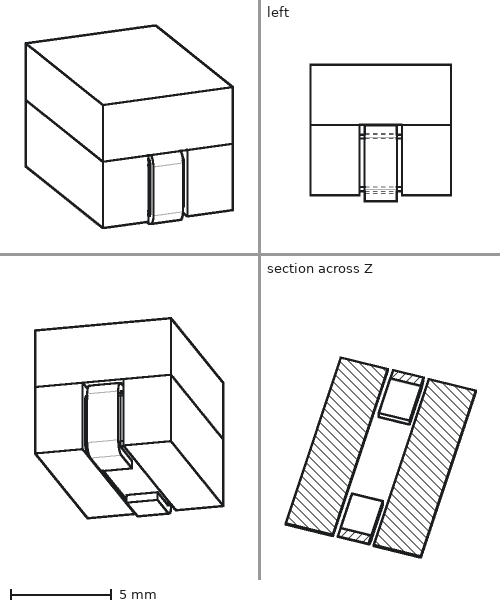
import cadquery as cq

total_length = 10.1
total_height = 6.8

core_width = 7.0
end_protrusion = 0.05
core_length = total_length - 2 * end_protrusion
lower_core_height = 3.5
foot_drop = 0.3
upper_core_height = total_height - lower_core_height - foot_drop

window_width = 2.1
clip_clearance = 0.1
bar_bottom = 0.2
bar_top = 3.02
bar_chamfer = 0.2

clip_width = 1.6
clip_thickness = 0.4
clip_top_gap = 0.02
clip_bend_radius = 0.61
foot_length = 2.63

bar_length = total_length - 2 * (clip_thickness + clip_clearance)
clip_top = lower_core_height - clip_top_gap
clip_height = clip_top + foot_drop


def block(length, width, bottom, top):
    """Box centred in X and Y, between two heights."""
    return (
        cq.Workplane("XY")
        .workplane(offset=bottom)
        .rect(length, width)
        .extrude(top - bottom)
    )


def make_upper_core():
    """Plain slab closing the magnetic circuit."""
    return block(core_length, core_width, lower_core_height, lower_core_height + upper_core_height)


def make_lower_core():
    """Two side legs joined by a chamfered bar across the open window."""
    legs = block(core_length, core_width, 0, lower_core_height)
    window = block(core_length, window_width, 0, lower_core_height)
    bar = block(bar_length, window_width, bar_bottom, bar_top).edges("|Y").chamfer(bar_chamfer)
    return legs.cut(window).union(bar)


def make_clip():
    """Flat strip bent round the bar, its two ends forming feet underneath."""
    clip_middle = (clip_top - foot_drop) / 2
    strip = (
        cq.Workplane("XY")
        .box(total_length, clip_width, clip_height)
        .edges("|Y")
        .fillet(clip_bend_radius)
    )
    inside = (
        cq.Workplane("XY")
        .box(total_length - 2 * clip_thickness, clip_width, clip_height - 2 * clip_thickness)
        .edges("|Y")
        .fillet(clip_bend_radius - clip_thickness)
    )
    loop = strip.cut(inside).translate((0, 0, clip_middle))
    foot_gap = block(total_length - 2 * foot_length, clip_width, -foot_drop, clip_middle - foot_drop)
    return loop.cut(foot_gap)


upper_core = make_upper_core()
lower_core = make_lower_core()
clip = make_clip()

result = cq.Compound.makeCompound([upper_core.val(), lower_core.val(), clip.val()])